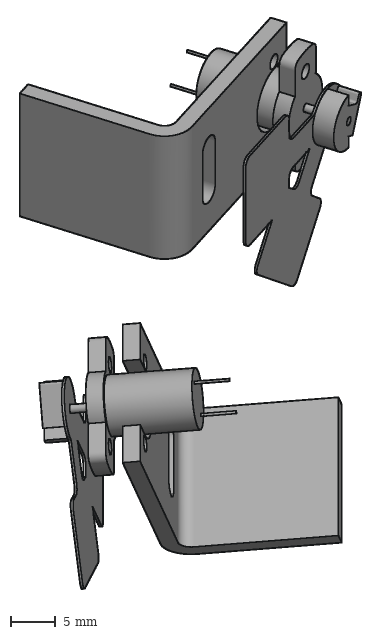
import cadquery as cq
import math


SHEET = 2.0
BASE_LENGTH = 20.0
BRACKET_HEIGHT = 17.0
WALL_EDGE_Y = 3.0
BASE_FACE_Y = -22.98
BEND_INNER_RADIUS = 1.5
BEND_OUTER_RADIUS = BEND_INNER_RADIUS + SHEET
SLOT_Y = -15.5
SLOT_WIDTH = 3.0
SLOT_LENGTH = 9.0

MOUNT_RADIUS = 4.0
SCREW_DIAMETER = 1.8
SCREW_OFFSET = 5.02

CAN_DIAMETER = 7.0
CAN_LENGTH = 10.0
TERMINAL_DIAMETER = 0.32
TERMINAL_LENGTH = 4.0
TERMINAL_CIRCLE_RADIUS = 2.25
TERMINAL_ANGLES = (30, 210)

FLANGE_GAP = 2.0
FLANGE_THICKNESS = 2.0
EAR_WIDTH = 5.02
EAR_TIP_RADIUS = 7.88
EAR_CORNER_RADIUS = 1.0

SHAFT_DIAMETER = 1.0

FLAG_GAP = 2.5
FLAG_THICKNESS = 0.3
FLAG_DISC_RADIUS = 3.63
FLAG_ARM_WIDTH = 4.0
PADDLE_INNER = 9.15
PADDLE_OUTER = 19.5
PADDLE_WIDTH = 12.33
FLAG_CORNER_RADIUS = 1.0
PADDLE_ANGLES = (0, 50)

HUB_THICKNESS = 2.68
HUB_RADIUS = 3.6
LEVER_ANGLE = -25
LEVER_LENGTH = 1.92
STEM_WIDTH = 3.84
STEM_OVERLAP = 1.18
FINGER_WIDTH = 0.65
FINGER_TIP = 3.2
FINGER_CORNER_RADIUS = 0.3

FLANGE_X = FLANGE_GAP
FLANGE_FRONT_X = FLANGE_X + FLANGE_THICKNESS
CAN_REAR_X = FLANGE_X - CAN_LENGTH
FLAG_X = FLANGE_FRONT_X + FLAG_GAP
HUB_X = FLAG_X + FLAG_THICKNESS
HUB_FRONT_X = HUB_X + HUB_THICKNESS


def plane_at(x):
    """Sketch plane facing +X whose local axes are Y and Z."""
    return cq.Workplane("YZ", origin=(x, 0, 0))


def screw_holes(x, depth):
    points = [(0, SCREW_OFFSET), (0, -SCREW_OFFSET)]
    return plane_at(x).pushPoints(points).circle(SCREW_DIAMETER / 2).extrude(depth)


def turned_about_shaft(shape, angle):
    return shape.rotate((0, 0, 0), (1, 0, 0), angle)


def make_bracket():
    inner_y = BASE_FACE_Y + SHEET
    bend_y = BASE_FACE_Y + BEND_OUTER_RADIUS
    bend_x = -BEND_OUTER_RADIUS
    diagonal = math.sqrt(0.5)
    outline = (
        cq.Workplane("XY", origin=(0, 0, -BRACKET_HEIGHT / 2))
        .moveTo(-BASE_LENGTH, BASE_FACE_Y)
        .lineTo(bend_x, BASE_FACE_Y)
        .threePointArc(
            (bend_x + BEND_OUTER_RADIUS * diagonal, bend_y - BEND_OUTER_RADIUS * diagonal),
            (0, bend_y),
        )
        .lineTo(0, WALL_EDGE_Y)
        .lineTo(-SHEET, WALL_EDGE_Y)
        .lineTo(-SHEET, bend_y)
        .threePointArc(
            (bend_x + BEND_INNER_RADIUS * diagonal, bend_y - BEND_INNER_RADIUS * diagonal),
            (bend_x, inner_y),
        )
        .lineTo(-BASE_LENGTH, inner_y)
        .close()
    )
    body = outline.extrude(BRACKET_HEIGHT)

    notch_round = plane_at(-SHEET).circle(MOUNT_RADIUS).extrude(SHEET)
    notch_mouth = (
        plane_at(-SHEET)
        .rect(WALL_EDGE_Y, 2 * MOUNT_RADIUS)
        .extrude(SHEET)
        .translate((0, WALL_EDGE_Y / 2, 0))
    )
    slot = plane_at(-SHEET).center(SLOT_Y, 0).slot2D(SLOT_LENGTH, SLOT_WIDTH, 90).extrude(SHEET)
    return body.cut(notch_round).cut(notch_mouth).cut(slot).cut(screw_holes(-SHEET, SHEET))


def make_motor_can():
    can = plane_at(CAN_REAR_X).circle(CAN_DIAMETER / 2).extrude(CAN_LENGTH)
    for angle in TERMINAL_ANGLES:
        y = TERMINAL_CIRCLE_RADIUS * math.cos(math.radians(angle))
        z = TERMINAL_CIRCLE_RADIUS * math.sin(math.radians(angle))
        terminal = plane_at(CAN_REAR_X).center(y, z).circle(TERMINAL_DIAMETER / 2)
        can = can.union(terminal.extrude(-TERMINAL_LENGTH))
    return can


def make_flange():
    ear_blank = plane_at(FLANGE_X).circle(EAR_TIP_RADIUS).extrude(FLANGE_THICKNESS)
    ear_band = plane_at(FLANGE_X).rect(EAR_WIDTH, 2 * EAR_TIP_RADIUS).extrude(FLANGE_THICKNESS)
    ears = ear_blank.intersect(ear_band).edges("|X").fillet(EAR_CORNER_RADIUS)
    disc = plane_at(FLANGE_X).circle(MOUNT_RADIUS).extrude(FLANGE_THICKNESS)
    return disc.union(ears).cut(screw_holes(FLANGE_X, FLANGE_THICKNESS))


def make_shaft():
    return plane_at(FLANGE_FRONT_X).circle(SHAFT_DIAMETER / 2).extrude(HUB_FRONT_X - FLANGE_FRONT_X)


def make_flag_lobe():
    """Central disc with one arm and one paddle pointing along -Y."""
    disc = plane_at(FLAG_X).circle(FLAG_DISC_RADIUS).extrude(FLAG_THICKNESS)
    arm = (
        plane_at(FLAG_X)
        .center(-PADDLE_INNER / 2, 0)
        .rect(PADDLE_INNER, FLAG_ARM_WIDTH)
        .extrude(FLAG_THICKNESS)
    )
    paddle = (
        plane_at(FLAG_X)
        .center(-(PADDLE_INNER + PADDLE_OUTER) / 2, 0)
        .rect(PADDLE_OUTER - PADDLE_INNER, PADDLE_WIDTH)
        .extrude(FLAG_THICKNESS)
        .edges("|X")
        .fillet(FLAG_CORNER_RADIUS)
    )
    margin = 0.15
    arm_corners = cq.selectors.BoxSelector(
        (FLAG_X - margin, -PADDLE_INNER - margin, -FLAG_ARM_WIDTH / 2 - margin),
        (HUB_X + margin, -margin, FLAG_ARM_WIDTH / 2 + margin),
    )
    lobe = disc.union(arm).union(paddle)
    return lobe.edges("|X").edges(arm_corners).fillet(FLAG_CORNER_RADIUS)


def make_flag(shaft):
    lobe = make_flag_lobe()
    first_angle, second_angle = PADDLE_ANGLES
    flag = turned_about_shaft(lobe, first_angle).union(turned_about_shaft(lobe, second_angle))
    return flag.cut(shaft)


def make_hub(shaft):
    half_disc = (
        plane_at(HUB_X)
        .moveTo(0, HUB_RADIUS)
        .threePointArc((-HUB_RADIUS, 0), (0, -HUB_RADIUS))
        .close()
        .extrude(HUB_THICKNESS)
    )

    finger_inner = LEVER_LENGTH - FINGER_WIDTH
    stem_top = STEM_WIDTH / 2
    lever = (
        plane_at(HUB_X)
        .moveTo(-STEM_OVERLAP, -stem_top)
        .lineTo(LEVER_LENGTH, -stem_top)
        .lineTo(LEVER_LENGTH, FINGER_TIP)
        .lineTo(finger_inner, FINGER_TIP)
        .lineTo(finger_inner, stem_top)
        .lineTo(-STEM_OVERLAP, stem_top)
        .close()
        .extrude(HUB_THICKNESS)
    )
    for y, z in [(LEVER_LENGTH, FINGER_TIP), (finger_inner, FINGER_TIP), (finger_inner, stem_top)]:
        corner = cq.selectors.NearestToPointSelector((HUB_X + HUB_THICKNESS / 2, y, z))
        lever = lever.edges("|X").edges(corner).fillet(FINGER_CORNER_RADIUS)
    return half_disc.union(turned_about_shaft(lever, LEVER_ANGLE)).cut(shaft)


bracket = make_bracket()
motor_can = make_motor_can()
flange = make_flange()
shaft = make_shaft()
flag = make_flag(shaft)
hub = make_hub(shaft)

result = cq.Compound.makeCompound(
    [bracket.val(), motor_can.val(), flange.val(), shaft.val(), flag.val(), hub.val()]
)